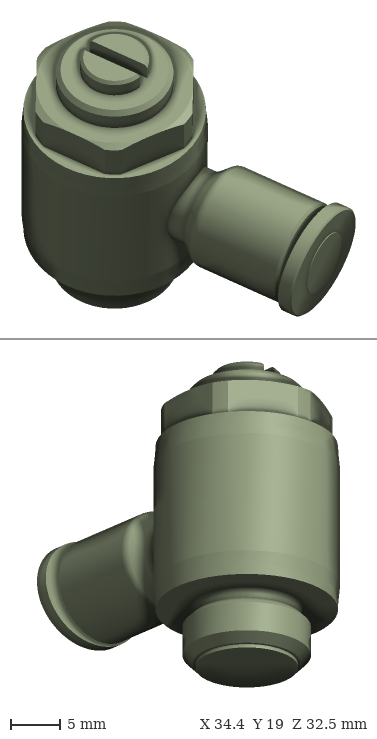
import cadquery as cq
import math

body_radius = 9.5
body_end_radius = 9.3
body_bottom = 6.4
body_height = 18.02
body_taper_length = 2.5
body_top = body_bottom + body_height

tip_radius = 5.25
tip_height = 0.38
thread_radius = 6.55
thread_chamfer = 0.95
thread_top = 4.48
neck_radius = thread_radius - thread_chamfer
neck_flare_radius = 5.82
neck_flare_height = 0.48

hex_across_flats = 16.0
hex_height = 4.0
hex_corner_radius = 8.8
hex_chamfer_height = 0.3
hex_top_radius = 8.03
hex_top = body_top + hex_height

collar_radius = 6.0
collar_height = 2.2
collar_chamfer = 0.48
collar_top = hex_top + collar_height
screw_radius = 3.5
screw_height = 1.85
screw_chamfer = 0.3
slot_width = 1.45

branch_z = body_bottom + body_height / 2
branch_neck_radius = 4.0
branch_radius = 5.58
cone_start = 10.55
cone_angle = math.radians(41)
cone_blend_radius = 1.0
branch_end = 22.6
branch_chamfer = 0.28

sleeve_radius = 3.75
ring_start = 23.32
ring_half_width = 6.5
ring_half_height = 5.5
ring_thickness = 1.5
ring_chamfer = 0.17
ring_end = ring_start + ring_thickness
nose_radius = 3.38
nose_length = 0.1


def cylinder(radius, bottom, height):
    return cq.Workplane("XY").workplane(offset=bottom).circle(radius).extrude(height)


def make_body():
    """Barrel whose two ends taper in slightly."""
    return (
        cq.Workplane("XZ")
        .moveTo(0, body_bottom)
        .lineTo(body_end_radius, body_bottom)
        .lineTo(body_radius, body_bottom + body_taper_length)
        .lineTo(body_radius, body_top - body_taper_length)
        .lineTo(body_end_radius, body_top)
        .lineTo(0, body_top)
        .close()
        .revolve(360, (0, 0), (0, 1))
    )


def make_stem():
    """Plain cylinder standing for the thread, with chamfered ends, an undercut neck and a reduced tip."""
    return (
        cq.Workplane("XZ")
        .lineTo(tip_radius, 0)
        .lineTo(tip_radius, tip_height)
        .lineTo(thread_radius - thread_chamfer, tip_height)
        .lineTo(thread_radius, tip_height + thread_chamfer)
        .lineTo(thread_radius, thread_top)
        .lineTo(neck_radius, thread_top + thread_chamfer)
        .lineTo(neck_radius, body_bottom - neck_flare_height)
        .tangentArcPoint((neck_flare_radius, body_bottom), relative=False)
        .lineTo(0, body_bottom)
        .close()
        .revolve(360, (0, 0), (0, 1))
    )


def make_hex_nut():
    """Hexagon with rounded corners and a conical chamfer round the top."""
    across_corners = hex_across_flats / math.cos(math.radians(30))
    hexagon = (
        cq.Workplane("XY")
        .workplane(offset=body_top)
        .polygon(6, across_corners)
        .extrude(hex_height)
    )
    envelope = (
        cq.Workplane("XZ")
        .moveTo(0, body_top)
        .lineTo(hex_corner_radius, body_top)
        .lineTo(hex_corner_radius, hex_top - hex_chamfer_height)
        .lineTo(hex_top_radius, hex_top)
        .lineTo(0, hex_top)
        .close()
        .revolve(360, (0, 0), (0, 1))
    )
    return hexagon.intersect(envelope)


def make_collar_and_screw():
    """Chamfered collar carrying a screw head split by a slot along X."""
    collar = cylinder(collar_radius, hex_top, collar_height).faces(">Z").chamfer(collar_chamfer)
    screw = cylinder(screw_radius, collar_top, screw_height).faces(">Z").chamfer(screw_chamfer)
    slot = (
        cq.Workplane("XY")
        .workplane(offset=collar_top)
        .rect(2 * screw_radius, slot_width)
        .extrude(screw_height)
    )
    return collar.union(screw.cut(slot))


def make_branch():
    """Neck, blended cone, socket and sleeve, turned about the branch axis."""
    cone_end = cone_start + (branch_radius - branch_neck_radius) / math.tan(cone_angle)
    blend_length = cone_blend_radius * math.tan(cone_angle / 2)
    blend_dx = blend_length * math.cos(cone_angle)
    blend_dr = blend_length * math.sin(cone_angle)
    return (
        cq.Workplane("XZ", origin=(0, 0, branch_z))
        .lineTo(0, branch_neck_radius)
        .lineTo(cone_start - blend_length, branch_neck_radius)
        .tangentArcPoint((cone_start + blend_dx, branch_neck_radius + blend_dr), relative=False)
        .lineTo(cone_end - blend_dx, branch_radius - blend_dr)
        .tangentArcPoint((cone_end + blend_length, branch_radius), relative=False)
        .lineTo(branch_end - branch_chamfer, branch_radius)
        .lineTo(branch_end, branch_radius - branch_chamfer)
        .lineTo(branch_end, sleeve_radius)
        .lineTo(ring_start, sleeve_radius)
        .lineTo(ring_start, 0)
        .close()
        .revolve(360, (0, 0), (1, 0))
    )


def make_release_ring():
    """Oval ring, wider along Y than it is high, with a low round nose."""
    ring = (
        cq.Workplane("YZ", origin=(ring_start, 0, branch_z))
        .ellipse(ring_half_width, ring_half_height)
        .extrude(ring_thickness)
        .faces(">X")
        .chamfer(ring_chamfer)
    )
    nose = (
        cq.Workplane("YZ", origin=(ring_end, 0, branch_z))
        .circle(nose_radius)
        .extrude(nose_length)
    )
    return ring.union(nose)


result = (
    make_body()
    .union(make_stem())
    .union(make_hex_nut())
    .union(make_collar_and_screw())
    .union(make_branch())
    .union(make_release_ring())
)